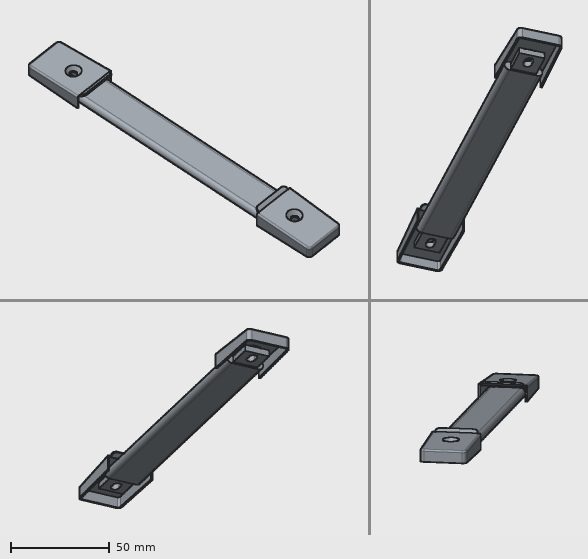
import cadquery as cq
import math

overall_length = 194.0
half_length = overall_length / 2
screw_x = 76.0

strap_width = 20.4
strap_thickness = 5.2
strap_end_x = 69.8

strip_width = 13.5
strip_thickness = 3.5
strip_end_x = 83.5
strip_bottom = (strap_thickness - strip_thickness) / 2
strip_top = strip_bottom + strip_thickness
slot_reach = 3.0

cap_inner_x = 61.5
cap_inner_width = 25.5
cap_outer_width = 23.9
cap_inner_height = 8.5
cap_outer_height = 6.5
cap_wall = 1.0
cap_corner_radius = 2.1
cap_edge_radius = 1.0
cap_slope = (cap_inner_height - cap_outer_height) / (half_length - cap_inner_x)

lip_top = 10.0
lip_tip_x = 59.0
lip_width = 22.0
lip_thickness = 1.0
lip_corner_radius = 2.3

screw_diameter = 4.3
countersink_diameter = 8.3
countersink_depth = 2.3
collar_wall = 1.0


def cap_top_height(x):
    """Height of the cap's sloping top at distance x from the middle of the part."""
    return cap_outer_height + cap_slope * (half_length - x)


def upright_cylinder(x, diameter, bottom, top):
    return cq.Workplane("XY", origin=(x, 0, bottom)).circle(diameter / 2).extrude(top - bottom)


def wedge(inset):
    """Tapered block with a sloping top, inset from the cap's outer faces."""
    outer_x = half_length - inset
    inner_half_width = cap_inner_width / 2 - inset
    outer_half_width = cap_outer_width / 2 - inset
    plan = (
        cq.Workplane("XY")
        .moveTo(cap_inner_x, -inner_half_width)
        .lineTo(outer_x, -outer_half_width)
        .lineTo(outer_x, outer_half_width)
        .lineTo(cap_inner_x, inner_half_width)
        .close()
        .extrude(cap_inner_height)
        .edges("|Z and >X")
        .fillet(cap_corner_radius - inset)
    )
    profile = (
        cq.Workplane("XZ")
        .moveTo(cap_inner_x, 0)
        .lineTo(outer_x, 0)
        .lineTo(outer_x, cap_top_height(outer_x) - inset)
        .lineTo(cap_inner_x, cap_inner_height - inset)
        .close()
        .extrude(cap_inner_width / 2, both=True)
    )
    return plan.intersect(profile)


def lip():
    """Sloping plate with rounded free corners, rooted in the cap's top wall."""
    rise = lip_top - cap_inner_height
    run = cap_inner_x - lip_tip_x
    angle = math.atan2(rise, run)
    tip_underside = (
        lip_tip_x - lip_thickness * math.sin(angle),
        lip_top - lip_thickness * math.cos(angle),
    )
    root_underside = (cap_inner_x, cap_inner_height - lip_thickness / math.cos(angle))
    plate = (
        cq.Workplane("XZ")
        .moveTo(cap_inner_x, cap_inner_height)
        .lineTo(lip_tip_x, lip_top)
        .lineTo(*tip_underside)
        .lineTo(*root_underside)
        .close()
        .extrude(lip_width / 2, both=True)
    )
    through_plate = cq.Vector(math.sin(angle), 0, math.cos(angle))
    return plate.edges(cq.selectors.ParallelDirSelector(through_plate)).fillet(lip_corner_radius)


def screw_hole():
    """Straight bore with a conical countersink that opens out through the cap's top."""
    sink_bottom = cap_top_height(screw_x) - countersink_depth
    cone_height = cap_inner_height - sink_bottom
    flare = (countersink_diameter - screw_diameter) / 2 / countersink_depth
    cone = cq.Solid.makeCone(
        screw_diameter / 2,
        screw_diameter / 2 + flare * cone_height,
        cone_height,
        pnt=cq.Vector(screw_x, 0, sink_bottom),
    )
    return upright_cylinder(screw_x, screw_diameter, 0, cap_inner_height).union(cq.Workplane(cone))


def screw_collar():
    """Boss that carries the countersink down onto the core strip."""
    diameter = countersink_diameter + 2 * collar_wall
    lowest_top = cap_top_height(screw_x + diameter / 2)
    return upright_cylinder(screw_x, diameter, strip_top, lowest_top)


def right_cap():
    top_face = wedge(0).faces(">Z")
    shell = top_face.edges("not <X").fillet(cap_edge_radius)
    return shell.cut(wedge(cap_wall)).union(screw_collar()).union(lip()).cut(screw_hole())


def core_strip():
    strip = (
        cq.Workplane("XY", origin=(0, 0, strip_bottom))
        .rect(2 * strip_end_x, strip_width)
        .extrude(strip_thickness)
    )
    slot_length = screw_diameter + slot_reach
    slot_x = screw_x + slot_reach / 2
    slots = (
        cq.Workplane("XY", origin=(0, 0, strip_bottom))
        .pushPoints([(-slot_x, 0), (slot_x, 0)])
        .slot2D(slot_length, screw_diameter)
        .extrude(strip_thickness)
    )
    return strip.cut(slots)


def strap(strip):
    """Band with a matching passage for the core strip."""
    band = (
        cq.Workplane("YZ", origin=(0, 0, strap_thickness / 2))
        .slot2D(strap_width, strap_thickness)
        .extrude(strap_end_x, both=True)
    )
    return band.cut(strip)


strip = core_strip()
band = strap(strip)
cap = right_cap()
caps = [cap, cap.mirror("YZ")]

result = cq.Compound.makeCompound([band.val(), strip.val(), *[end.val() for end in caps]])